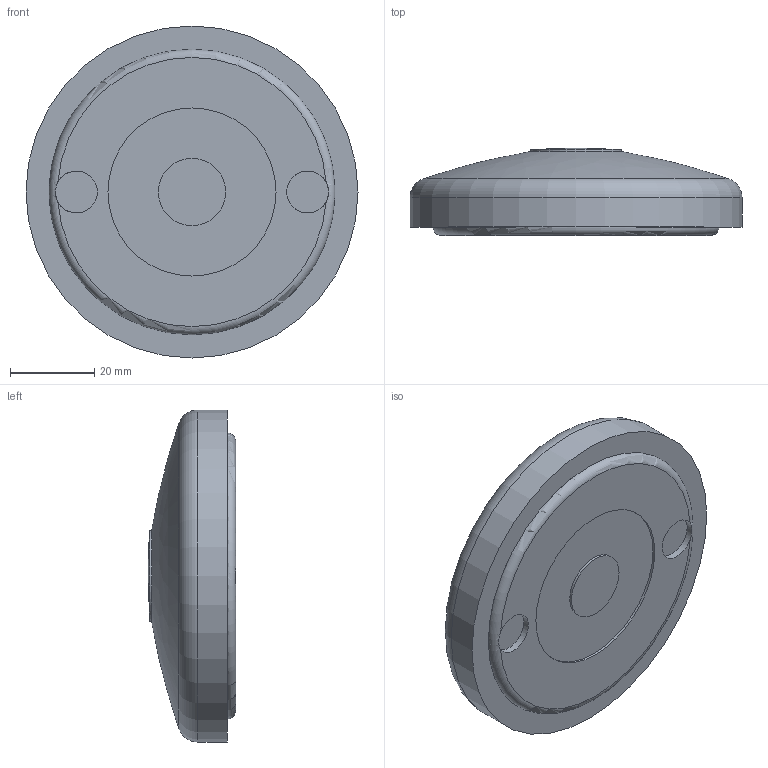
import cadquery as cq
import math


RIM_RADIUS = 39.5
RIM_HEIGHT = 7.0
SHOULDER_RADIUS = 4.8
SHOULDER_END_ANGLE = 19.0

BUTTON_RADIUS = 10.8
BUTTON_BASE_HEIGHT = 18.0
BUTTON_EDGE_HEIGHT = 18.5
BUTTON_CROWN_HEIGHT = 18.8

PAD_RADIUS = 34.0
PAD_THICKNESS = 2.0
PAD_FILLET = PAD_THICKNESS - 0.01

RECESS_RADIUS = 20.0
ISLAND_RADIUS = 8.0
RECESS_DEPTH = 0.6
HOLE_RADIUS = 5.0
HOLE_OFFSET = 27.5
HOLE_DEPTH = 1.6


def shoulder_point(angle_from_disc_plane):
    """Point (radius, height) on the shoulder arc where the surface slopes at the given angle, in degrees."""
    angle = math.radians(angle_from_disc_plane)
    return (
        RIM_RADIUS - SHOULDER_RADIUS * (1 - math.sin(angle)),
        RIM_HEIGHT + SHOULDER_RADIUS * math.cos(angle),
    )


def domed_body():
    """Rim, rounded shoulder, tangent dome and crowned button, revolved about Y."""
    shoulder_middle = shoulder_point((90 + SHOULDER_END_ANGLE) / 2)
    shoulder_end = shoulder_point(SHOULDER_END_ANGLE)

    crown_rise = BUTTON_CROWN_HEIGHT - BUTTON_EDGE_HEIGHT
    crown_radius = (BUTTON_RADIUS**2 + crown_rise**2) / (2 * crown_rise)
    crown_middle_radius = BUTTON_RADIUS / 2
    crown_drop = crown_radius - math.sqrt(crown_radius**2 - crown_middle_radius**2)

    profile = (
        cq.Workplane("ZY")
        .lineTo(RIM_RADIUS, 0)
        .lineTo(RIM_RADIUS, RIM_HEIGHT)
        .threePointArc(shoulder_middle, shoulder_end)
        .tangentArcPoint((BUTTON_RADIUS, BUTTON_BASE_HEIGHT), relative=False)
        .lineTo(BUTTON_RADIUS, BUTTON_EDGE_HEIGHT)
        .threePointArc((crown_middle_radius, BUTTON_CROWN_HEIGHT - crown_drop), (0, BUTTON_CROWN_HEIGHT))
        .close()
    )
    return profile.revolve(360, (0, 0, 0), (0, 1, 0))


def front_cylinder(radius, depth, x=0):
    """Cylinder sunk from the pad face into the part by the given depth."""
    face = cq.Workplane("XZ", origin=(x, -PAD_THICKNESS, 0))
    return face.circle(radius).extrude(-depth)


def front_pad():
    """Round pad in front of the base plane, with a rounded front edge."""
    return front_cylinder(PAD_RADIUS, PAD_THICKNESS).faces("<Y").edges().fillet(PAD_FILLET)


def ring_recess():
    """Shallow ring cut that leaves a flush island in the middle."""
    return front_cylinder(RECESS_RADIUS, RECESS_DEPTH).cut(front_cylinder(ISLAND_RADIUS, RECESS_DEPTH))


result = domed_body().union(front_pad()).cut(ring_recess())
for side in (-1, 1):
    result = result.cut(front_cylinder(HOLE_RADIUS, HOLE_DEPTH, side * HOLE_OFFSET))